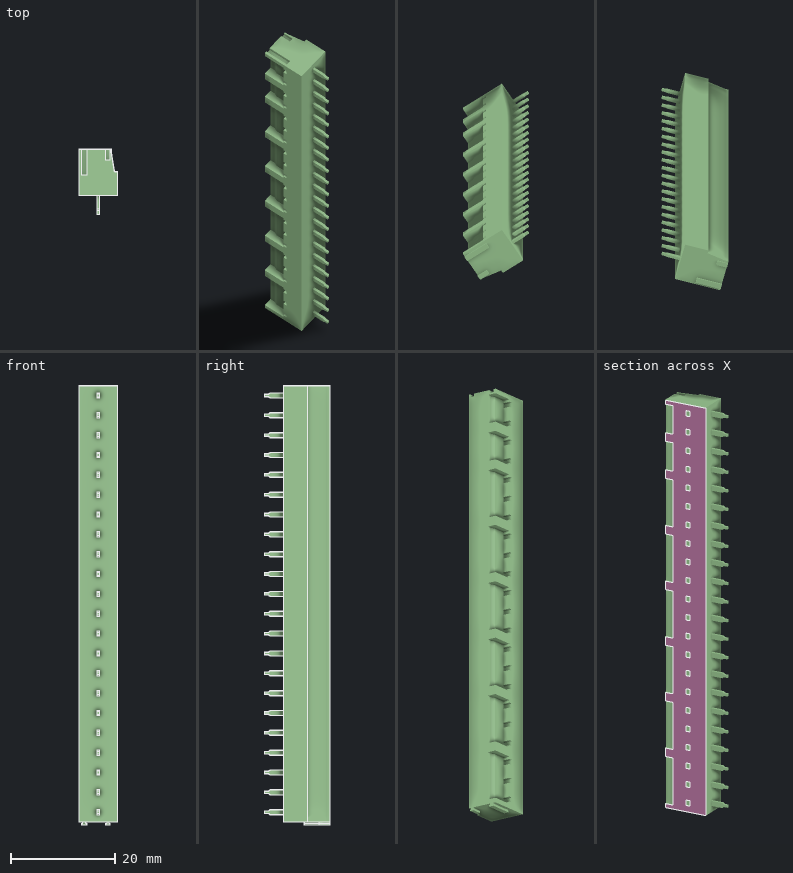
import cadquery as cq

width = 7.4
overall_length = 84.4
overall_depth = 12.6
tongue_height = 0.6
pin_length = 3.6
contact_count = 22
body_length = overall_length - tongue_height
body_depth = overall_depth - pin_length
pitch = body_length / contact_count

left = -width / 2
right = width / 2

back_width = 6.25
straight_depth = 0.7
slope_width = 6.8
step_depth = 4.3

window_contacts = [2, 2, 3, 3, 3, 3, 3, 3]
rib_thickness = 1.85
window_reach = 4.55
back_recess = 1.8
back_recess_reach = 1.0
floor_recess = 1.4
floor_start = 1.8

notch_height = 1.0
notch_length = 0.8
notch_recess = 1.8

pin_height = 1.0
pin_thickness = 0.5
tip_height = 0.5
tip_length = 1.1
taper_length = 0.3

outer_joint = (left + 1.0, 0.7, 1.0, 5.0)
inner_joint = (left + 5.6, 0.4, 0.85, 2.1)
flange_height = 0.3


def make_body():
    profile = [
        (left, 0),
        (left + back_width, 0),
        (left + back_width, -straight_depth),
        (left + slope_width, -step_depth),
        (right, -step_depth),
        (right, -body_depth),
        (left, -body_depth),
    ]
    return cq.Workplane("XY").polyline(profile).close().extrude(body_length)


def make_window(bottom, height):
    profile = [
        (left, 0),
        (left + back_recess, 0),
        (left + back_recess, -back_recess_reach),
        (left + floor_recess, -floor_start),
        (left + floor_recess, -window_reach),
        (left, -window_reach),
    ]
    return cq.Workplane("XY").workplane(offset=bottom).polyline(profile).close().extrude(height)


def make_notch(height):
    return cq.Workplane("XY").box(notch_recess, notch_length, notch_height).translate(
        (left + notch_recess / 2, -window_reach - notch_length / 2, height)
    )


def make_pin(height):
    """Flat pin whose end narrows in height through a short taper."""
    shank_end = -body_depth - pin_length + tip_length
    profile = [
        (-body_depth, pin_height / 2),
        (shank_end, pin_height / 2),
        (shank_end - taper_length, tip_height / 2),
        (-overall_depth, tip_height / 2),
        (-overall_depth, -tip_height / 2),
        (shank_end - taper_length, -tip_height / 2),
        (shank_end, -pin_height / 2),
        (-body_depth, -pin_height / 2),
    ]
    outline = cq.Workplane("YZ", origin=(-pin_thickness / 2, 0, height)).polyline(profile).close()
    return outline.extrude(pin_thickness)


def make_bar(centre, bar_width, length, bottom, top):
    """Bar along Y, starting at the back face."""
    return cq.Workplane("XY").box(bar_width, length, top - bottom).translate(
        (centre, -length / 2, (bottom + top) / 2)
    )


def make_tongue(joint):
    """Bar with a narrow neck under the bottom face and a wider flange below it."""
    centre, neck_width, flange_width, length = joint
    neck = make_bar(centre, neck_width, length, -tongue_height, 0)
    flange = make_bar(centre, flange_width, length, -tongue_height, flange_height - tongue_height)
    return neck.union(flange)


def make_groove(joint):
    """Cutter for a groove in the top face, as wide as the flange of the tongue it receives."""
    centre, _, flange_width, length = joint
    return make_bar(centre, flange_width, length, body_length - tongue_height, body_length)


result = make_body()

section_top = body_length
for contacts in window_contacts:
    section_height = contacts * pitch
    section_top -= section_height
    result = result.cut(make_window(section_top + rib_thickness / 2, section_height - rib_thickness))

for index in range(contact_count):
    contact_height = (index + 0.5) * pitch
    result = result.cut(make_notch(contact_height))
    result = result.union(make_pin(contact_height))

for joint in (outer_joint, inner_joint):
    result = result.union(make_tongue(joint))
    result = result.cut(make_groove(joint))